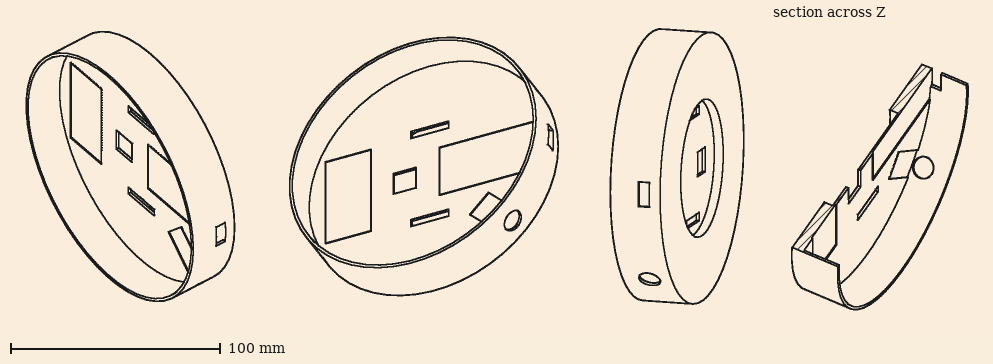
import cadquery as cq

outer_diameter = 130.0
depth = 25.0
wall = 1.5
floor_thickness = 6.0

outer_radius = outer_diameter / 2
inner_radius = outer_radius - wall
back_y = depth / 2
front_y = -depth / 2
floor_y = back_y - floor_thickness

recess_radius = 33.0
web_thickness = 1.5

strap_slot_length = 20.0
strap_slot_height = 4.0
strap_slot_offset = 26.0
window_size = 12.0
window_center_x = -13.25

pocket_depth = 0.5
pocket_bottom_y = floor_y + pocket_depth
left_pocket_width = 24.0
left_pocket_height = 48.0
left_pocket_center_x = -43.0
right_pocket_start = 5.0
right_pocket_height = 28.0
angled_pocket_start = 36.5
angled_pocket_width = 14.0
angled_pocket_angle = 44.5

port_width = 5.5
port_height = 12.0
port_center_y = pocket_bottom_y - port_width / 2
round_hole_diameter = 10.5
round_hole_center_y = floor_y - round_hole_diameter / 2


def disc(radius, start_y, end_y):
    """Solid disc about the Y axis between two Y positions."""
    return cq.Workplane("XZ", origin=(0, end_y, 0)).circle(radius).extrude(end_y - start_y)


def block(size_x, size_z, start_y, end_y, center_x=0.0, center_z=0.0):
    """Box placed by its centre in X and Z and by its two ends in Y."""
    size_y = end_y - start_y
    center_y = (start_y + end_y) / 2
    return cq.Workplane("XY").box(size_x, size_y, size_z).translate((center_x, center_y, center_z))


def turn_below_x(shape):
    """Swing a shape lying along +X about the Y axis to the angled pocket's direction."""
    return shape.rotate((0, 0, 0), (0, 1, 0), angled_pocket_angle)


def make_tray():
    return disc(outer_radius, front_y, back_y).cut(disc(inner_radius, front_y, floor_y))


def cut_back_recess(body):
    return body.cut(disc(recess_radius, floor_y + web_thickness, back_y))


def cut_floor_openings(body):
    for side in (-1, 1):
        slot = block(
            strap_slot_length, strap_slot_height, floor_y, back_y, center_z=side * strap_slot_offset
        )
        body = body.cut(slot)
    return body.cut(block(window_size, window_size, floor_y, back_y, center_x=window_center_x))


def pocket_to_wall(start, height):
    """Pocket running along +X from a start distance past the inside of the wall."""
    length = outer_radius - start
    return block(length, height, floor_y, pocket_bottom_y, center_x=start + length / 2)


def cut_floor_pockets(body):
    inside = disc(inner_radius, front_y, back_y)
    left_pocket = block(
        left_pocket_width,
        left_pocket_height,
        floor_y,
        pocket_bottom_y,
        center_x=left_pocket_center_x,
    )
    right_pocket = pocket_to_wall(right_pocket_start, right_pocket_height)
    angled_pocket = turn_below_x(pocket_to_wall(angled_pocket_start, angled_pocket_width))
    for pocket in (left_pocket, right_pocket, angled_pocket):
        body = body.cut(pocket.intersect(inside))
    return body


def cut_wall_openings(body):
    port_length = 2 * wall
    port = block(
        port_length,
        port_height,
        port_center_y - port_width / 2,
        port_center_y + port_width / 2,
        center_x=outer_radius - wall / 2,
    )
    drill = (
        cq.Workplane("YZ", origin=(angled_pocket_start, round_hole_center_y, 0))
        .circle(round_hole_diameter / 2)
        .extrude(outer_radius)
    )
    return body.cut(port).cut(turn_below_x(drill))


tray = make_tray()
tray = cut_back_recess(tray)
tray = cut_floor_openings(tray)
tray = cut_floor_pockets(tray)
result = cut_wall_openings(tray)